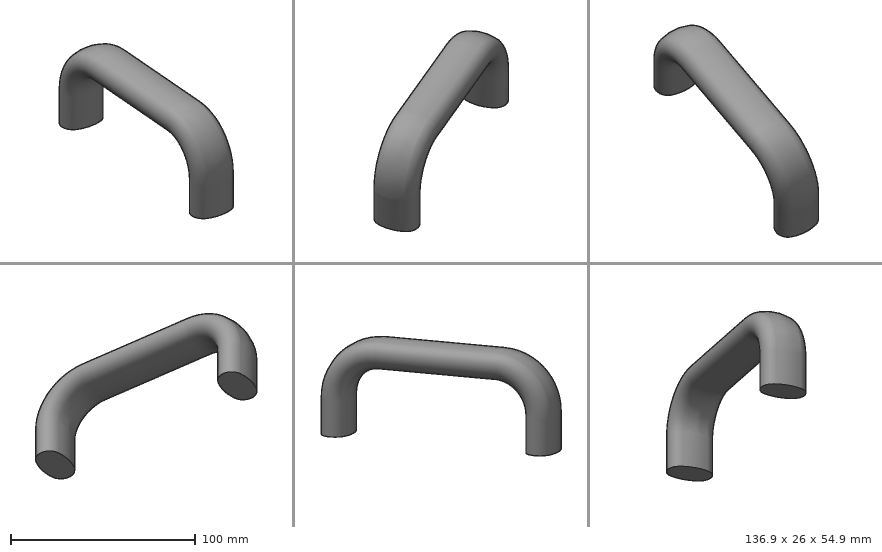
import cadquery as cq

length = 136.9
height = 54.9

grip_width = 26.0
grip_thickness = 17.0
broad_arc_half_width = 7.7
broad_arc_half_thickness = 7.3

inner_bend_radius = 17.0
bend_radius = inner_bend_radius + grip_thickness / 2
leg_x = length / 2 - grip_thickness / 2
bar_z = height - grip_thickness / 2
leg_height = bar_z - bend_radius
bar_half_length = leg_x - bend_radius


def handle_path():
    """Centreline: up one leg, along the bar and down the other leg."""
    return (
        cq.Workplane("XZ")
        .moveTo(-leg_x, 0)
        .lineTo(-leg_x, leg_height)
        .tangentArcPoint((-bar_half_length, bar_z), relative=False)
        .lineTo(bar_half_length, bar_z)
        .tangentArcPoint((leg_x, leg_height), relative=False)
        .lineTo(leg_x, 0)
    )


def grip_section():
    """Closed oval of four arcs on the foot of the left leg."""
    face = grip_thickness / 2
    edge = grip_width / 2
    corner_x = broad_arc_half_thickness
    corner_y = broad_arc_half_width
    return (
        cq.Workplane("XY")
        .center(-leg_x, 0)
        .moveTo(-corner_x, -corner_y)
        .threePointArc((0, -edge), (corner_x, -corner_y))
        .threePointArc((face, 0), (corner_x, corner_y))
        .threePointArc((0, edge), (-corner_x, corner_y))
        .threePointArc((-face, 0), (-corner_x, -corner_y))
        .close()
    )


result = grip_section().sweep(handle_path())